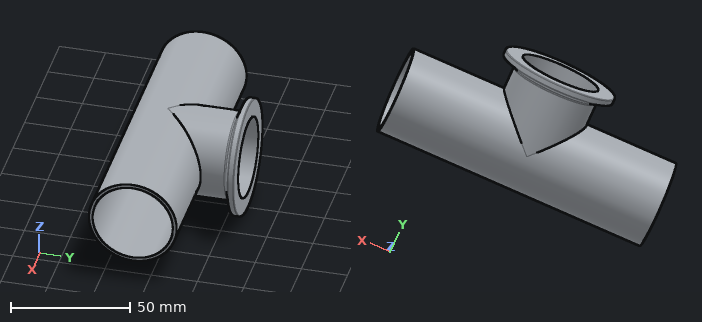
import cadquery as cq
import math

run_length = 120.6
tube_diameter = 38.1
bore_diameter = 34.7
tube_radius = tube_diameter / 2

overall_depth = 53.9
branch_end = overall_depth - tube_radius

flange_diameter = 50.4
flange_radius = flange_diameter / 2
rim_thickness = 2.8
cone_angle = math.radians(20)
rim_round = 0.4
neck_fillet = 1.0


def cylinder_along_x(diameter):
    return cq.Workplane("YZ").circle(diameter / 2).extrude(run_length / 2, both=True)


def cylinder_along_y(diameter):
    return cq.Workplane("XZ").circle(diameter / 2).extrude(-branch_end)


def branch_with_flange():
    cone_start = branch_end - rim_thickness
    cone_end = cone_start - (flange_radius - tube_radius) * math.tan(cone_angle)
    half_section = [
        (0, 0),
        (tube_radius, 0),
        (tube_radius, cone_end),
        (flange_radius, cone_start),
        (flange_radius, branch_end),
        (0, branch_end),
    ]
    body = cq.Workplane("XY").polyline(half_section).close().revolve(360, (0, 0, 0), (0, 1, 0))

    rim_edges = cq.selectors.RadiusNthSelector(-1)
    body = body.edges("%CIRCLE").edges(rim_edges).fillet(rim_round)

    neck_corner = cq.selectors.NearestToPointSelector((0, cone_end, 0))
    return body.edges("%CIRCLE").edges(neck_corner).fillet(neck_fillet)


outside = cylinder_along_x(tube_diameter).union(branch_with_flange())
result = outside.cut(cylinder_along_x(bore_diameter)).cut(cylinder_along_y(bore_diameter))